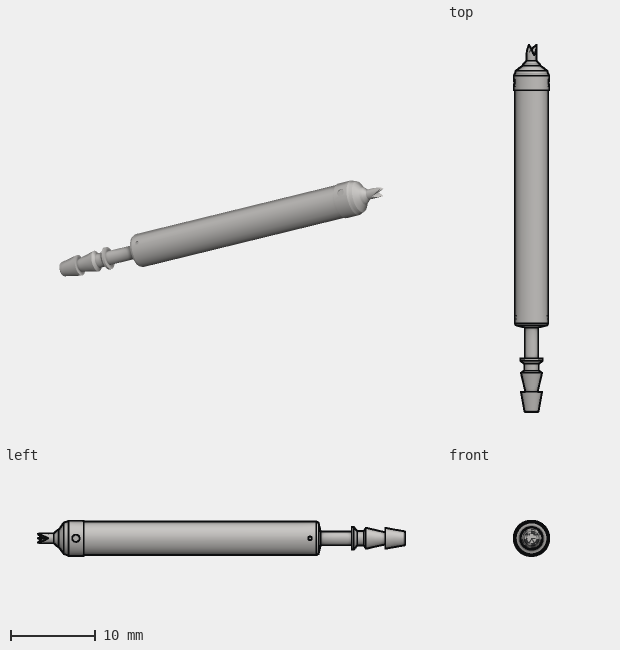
import cadquery as cq
import math

length = 43.5

stem_radius = 0.83
neck_radius = 0.85
barb_radius = 1.25
end_radius = 0.83
end_rounding = 0.2
barb_neck_radius = 0.75
first_barb_back = 2.4
second_barb_back = 4.65
second_barb_root = 4.9
flange_radius = 1.35
flange_front = 5.7
flange_edge = 6.1
flange_back = 6.35

body_radius = 2.0
body_end_radius = 1.85
body_end_inner = 10.0
body_end_outer = 10.25
body_start = 10.53

collar_diameter = 4.2
collar_radius = collar_diameter / 2
collar_start = 38.05
collar_end = 39.8
nose_base_radius = 2.0
nose_base = 40.0
nose_shoulder_radius = 1.85
nose_shoulder = 40.4
nose_step_radius = 1.1
nose_step = 40.98
nose_ring_radius = 0.95
nose_ring = 41.2
nose_tip = 41.6

tip_radius = 0.6
tooth_count = 3
cutter_reach = 2.0
crown_centre_depth = 0.52
crown_valley_depth = 1.25

hole_depth = 0.17
collar_hole_radius = 0.45
collar_hole_station = 38.98
tail_hole_radius = 0.2
tail_hole_station = 11.25


def turned_profile():
    """Half outline as (radius, station), revolved about the Y axis."""
    return [
        (0, 0),
        (end_radius, 0),
        (barb_radius, first_barb_back),
        (barb_neck_radius, first_barb_back),
        (barb_radius, second_barb_back),
        (neck_radius, second_barb_root),
        (neck_radius, flange_front),
        (flange_radius, flange_edge),
        (flange_radius, flange_back),
        (stem_radius, flange_back),
        (stem_radius, body_end_inner),
        (body_end_radius, body_end_outer),
        (body_radius, body_start),
        (body_radius, collar_start),
        (collar_radius, collar_start),
        (collar_radius, collar_end),
        (nose_base_radius, nose_base),
        (nose_shoulder_radius, nose_shoulder),
        (nose_step_radius, nose_step),
        (nose_ring_radius, nose_ring),
        (tip_radius, nose_tip),
        (tip_radius, length),
        (0, length),
    ]


def crown_cutter():
    """Star-shaped solid whose lower facets form the ridges and valleys between the teeth."""
    centre_y = length - crown_centre_depth
    peak_y = centre_y + cutter_reach * crown_centre_depth
    valley_y = centre_y + cutter_reach * (crown_centre_depth - crown_valley_depth)
    rim_count = 2 * tooth_count
    rim = []
    for i in range(rim_count):
        angle = 2 * math.pi * i / rim_count
        rim_y = peak_y if i % 2 == 0 else valley_y
        rim_x = cutter_reach * tip_radius * math.cos(angle)
        rim_z = cutter_reach * tip_radius * math.sin(angle)
        rim.append(cq.Vector(rim_x, rim_y, rim_z))
    bottom = cq.Vector(0, centre_y, 0)
    top = cq.Vector(0, length + cutter_reach * crown_valley_depth, 0)
    faces = []
    for i in range(rim_count):
        for apex in (bottom, top):
            corners = [apex, rim[i], rim[(i + 1) % rim_count]]
            outline = cq.Wire.makePolygon(corners, close=True)
            faces.append(cq.Face.makeFromWires(outline))
    return cq.Workplane(obj=cq.Solid.makeSolid(cq.Shell.makeShell(faces)))


def side_holes(hole_radius, station, surface_radius):
    """Two blind flat-bottomed holes entering from -X and +X."""
    floor = surface_radius - hole_depth
    drill = cq.Workplane("YZ").workplane(offset=floor).center(station, 0)
    drill = drill.circle(hole_radius).extrude(2 * hole_depth)
    return drill.union(drill.mirror("YZ"))


turned = cq.Workplane("XY").polyline(turned_profile()).close()
turned = turned.revolve(360, (0, 0, 0), (0, 1, 0))
turned = turned.faces("<Y").edges().fillet(end_rounding)

result = (
    turned.cut(crown_cutter())
    .cut(side_holes(collar_hole_radius, collar_hole_station, collar_radius))
    .cut(side_holes(tail_hole_radius, tail_hole_station, body_radius))
)